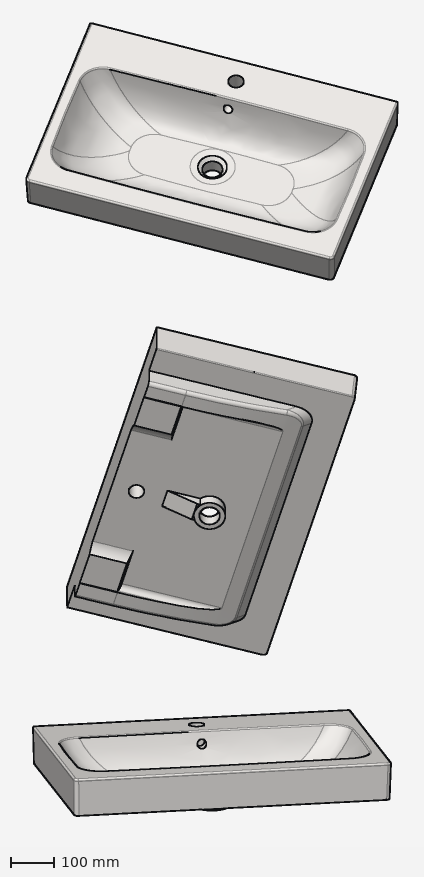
import cadquery as cq
import math


WIDTH = 749.5
DEPTH = 485.0
RIM_HEIGHT = 91.0
LIP_HEIGHT = 5.0
TOP_ROUND = 4.5
BOTTOM_ROUND = 2.0
CORNER_RADIUS = 10.0
SIDE_DRAFT = 2.0
FRONT_DRAFT = 5.0

BOWL_WIDTH = 694.0
BOWL_BACK = -111.0
BOWL_FRONT = -429.0
BOWL_DEPTH = 105.0
BOWL_CORNER = 56.0
BOWL_BULGE = 4.0
BOWL_ROUND = 4.0
SIDE_REACH = 150.0
BACK_REACH = 71.0
FRONT_REACH = 120.0
WALL_LEAN = math.radians(30)
WALL_STEPS = 6

HULL_WIDTH = 618.0
HULL_FRONT = -402.0
HULL_TOE = -378.5
HULL_TOE_Z = -115.0
HULL_BOTTOM = -143.0
HULL_OVERLAP = 7.5
HULL_FLAT_END = -90.0
HULL_CORNER = 34.0
HULL_ROUND = 9.0

RECESS_TOP = -122.0
RECESS_HALF_WIDTH = 267.0
RECESS_CORNER = 13.5
BOSS_BOTTOM = -141.0
BOSS_TOP_END = 160.0
BOSS_BOTTOM_END = 185.0
BOSS_TOP_DEPTH = 97.5
BOSS_BOTTOM_DEPTH = 90.0
BOSS_BLEND = 2.0

DRAIN_Y = -235.0
DRAIN_BORE = 47.0
DRAIN_PIPE = 73.0
TOTAL_HEIGHT = 151.0
SEAT_DIAMETER = 104.0
THROAT_DIAMETER = 67.5
SEAT_DEPTH = 3.0
THROAT_DEPTH = 11.0

OVERFLOW_DIAMETER = 21.0
OVERFLOW_Z = -31.0
OVERFLOW_END = -97.5
CHANNEL_WIDTH = 45.0
CHANNEL_START = -127.5
CHANNEL_LOW_Z = -148.0

TAP_DIAMETER = 36.0
TAP_Y = -59.0


def rim_outline(z, side_shift, front_shift):
    """Rectangle against the wall at height z with its two front corners rounded."""
    side = WIDTH / 2 - side_shift
    front = -DEPTH + front_shift
    return (
        cq.Sketch()
        .push([(0, front / 2)])
        .rect(2 * side, -front)
        .reset()
        .vertices("<Y")
        .fillet(CORNER_RADIUS)
        .moved(cq.Location(cq.Vector(0, 0, z)))
    )


def make_rim_block():
    """Slab with a narrow upright lip above slightly drafted sides and front."""
    top_outline = rim_outline(-LIP_HEIGHT, 0, 0)
    bottom_outline = rim_outline(-RIM_HEIGHT, SIDE_DRAFT, FRONT_DRAFT)
    lip = cq.Workplane("XY").placeSketch(top_outline).extrude(LIP_HEIGHT)
    lip = lip.faces(">Z").edges("not >Y").fillet(TOP_ROUND)
    skirt = cq.Workplane("XY").placeSketch(top_outline, bottom_outline).loft(ruled=True)
    skirt = skirt.faces("<Z").edges("not >Y").fillet(BOTTOM_ROUND)
    return lip.union(skirt)


def make_hull():
    """Body under the rim, with a sloping front and a bottom that falls towards the wall."""
    slope = (HULL_FRONT - HULL_TOE) / (-RIM_HEIGHT - HULL_TOE_Z)
    top_z = -RIM_HEIGHT + HULL_OVERLAP
    top_y = HULL_FRONT + slope * HULL_OVERLAP
    hull = (
        cq.Workplane("YZ", origin=(-HULL_WIDTH / 2, 0, 0))
        .moveTo(0, top_z)
        .lineTo(0, HULL_BOTTOM)
        .lineTo(HULL_FLAT_END, HULL_BOTTOM)
        .tangentArcPoint((HULL_TOE, HULL_TOE_Z), relative=False)
        .lineTo(top_y, top_z)
        .close()
        .extrude(HULL_WIDTH)
    )
    hull = hull.faces("<Y").edges("<X or >X").fillet(HULL_CORNER)
    return hull.faces("<Y").edges("<Z").fillet(HULL_ROUND)


def make_recess():
    """Cutter under the hull, rounded where its top meets the side feet."""
    width = 2 * RECESS_HALF_WIDTH
    height = TOTAL_HEIGHT + RECESS_TOP
    cutter = cq.Workplane("XY").box(width, DEPTH, height, centered=(True, False, False))
    cutter = cutter.translate((0, -DEPTH, -TOTAL_HEIGHT))
    return cutter.faces(">Z").edges("|Y").fillet(RECESS_CORNER)


def make_wall_boss():
    """Block on the -X side of the recess, against the wall, with a hollow inner end and a sloping front."""
    outer_x = -RECESS_HALF_WIDTH - RECESS_CORNER
    root_z = RECESS_TOP + HULL_ROUND
    end_middle = (
        -(BOSS_TOP_END + BOSS_BOTTOM_END) / 2 - BOSS_BLEND,
        (RECESS_TOP + BOSS_BOTTOM) / 2 + BOSS_BLEND,
    )
    boss = (
        cq.Workplane("XZ")
        .moveTo(outer_x, root_z)
        .lineTo(outer_x, BOSS_BOTTOM)
        .lineTo(-BOSS_BOTTOM_END, BOSS_BOTTOM)
        .threePointArc(end_middle, (-BOSS_TOP_END, RECESS_TOP))
        .lineTo(-BOSS_TOP_END, root_z)
        .close()
        .extrude(BOSS_TOP_DEPTH)
    )
    side_shape = (
        cq.Workplane("YZ", origin=(outer_x, 0, 0))
        .moveTo(0, root_z)
        .lineTo(0, BOSS_BOTTOM)
        .lineTo(-BOSS_BOTTOM_DEPTH, BOSS_BOTTOM)
        .lineTo(-BOSS_TOP_DEPTH, RECESS_TOP)
        .lineTo(-BOSS_TOP_DEPTH, root_z)
        .close()
        .extrude(-outer_x)
    )
    return boss.intersect(side_shape)


def bowl_outline(side_inset, back_inset, front_inset):
    """Closed wire of four bowed sides with rounded corners, at Z = 0."""
    side = BOWL_WIDTH / 2 - side_inset
    back = BOWL_BACK - back_inset
    front = BOWL_FRONT + front_inset
    middle = (back + front) / 2
    edge_x = side - BOWL_BULGE
    edge_back = back - BOWL_BULGE
    edge_front = front + BOWL_BULGE
    outline = (
        cq.Workplane("XY")
        .moveTo(-edge_x, edge_back)
        .threePointArc((0, back), (edge_x, edge_back))
        .threePointArc((side, middle), (edge_x, edge_front))
        .threePointArc((0, front), (-edge_x, edge_front))
        .threePointArc((-side, middle), (-edge_x, edge_back))
        .close()
        .val()
    )
    return outline.fillet2D(BOWL_CORNER, outline.Vertices())


def make_bowl():
    """Cutter whose walls follow an elliptic arc that starts leaning and ends level at the floor."""
    outlines = []
    for step in range(WALL_STEPS + 1):
        angle = WALL_LEAN + (math.pi / 2 - WALL_LEAN) * step / WALL_STEPS
        run = 1 - math.cos(angle) / math.cos(WALL_LEAN)
        drop = (math.sin(angle) - math.sin(WALL_LEAN)) / (1 - math.sin(WALL_LEAN))
        outline = bowl_outline(SIDE_REACH * run, BACK_REACH * run, FRONT_REACH * run)
        outlines.append(outline.moved(cq.Location(cq.Vector(0, 0, -BOWL_DEPTH * drop))))
    return cq.Workplane(cq.Solid.makeLoft(outlines))


def make_drain_pipe():
    """Short pipe below the hull."""
    return (
        cq.Workplane("XY", origin=(0, DRAIN_Y, -TOTAL_HEIGHT))
        .circle(DRAIN_PIPE / 2)
        .extrude(TOTAL_HEIGHT - BOWL_DEPTH - THROAT_DEPTH)
    )


def make_overflow_channel():
    """Wedge that runs down from the hull into the wall side of the drain pipe."""
    return (
        cq.Workplane("YZ")
        .moveTo(CHANNEL_START, RECESS_TOP + HULL_ROUND)
        .lineTo(CHANNEL_START, RECESS_TOP)
        .lineTo(DRAIN_Y + DRAIN_PIPE / 2, CHANNEL_LOW_Z)
        .lineTo(DRAIN_Y, CHANNEL_LOW_Z)
        .lineTo(DRAIN_Y, RECESS_TOP + HULL_ROUND)
        .close()
        .extrude(CHANNEL_WIDTH / 2, both=True)
    )


def make_drain_bore():
    """Shallow conical seat, tapered throat and straight bore through the pipe."""
    seat_z = -BOWL_DEPTH
    return (
        cq.Workplane("XZ", origin=(0, DRAIN_Y, 0))
        .moveTo(0, seat_z)
        .lineTo(SEAT_DIAMETER / 2, seat_z)
        .lineTo(THROAT_DIAMETER / 2, seat_z - SEAT_DEPTH)
        .lineTo(DRAIN_BORE / 2, seat_z - THROAT_DEPTH)
        .lineTo(DRAIN_BORE / 2, -TOTAL_HEIGHT)
        .lineTo(0, -TOTAL_HEIGHT)
        .close()
        .revolve(360, (0, 0, 0), (0, 1, 0))
    )


def make_overflow_hole():
    """Level blind hole in the wall-side face of the bowl."""
    return (
        cq.Workplane("XZ", origin=(0, OVERFLOW_END, OVERFLOW_Z))
        .circle(OVERFLOW_DIAMETER / 2)
        .extrude(BACK_REACH)
    )


def make_tap_hole():
    """Round hole through the full height of the deck."""
    return (
        cq.Workplane("XY", origin=(0, TAP_Y, -TOTAL_HEIGHT))
        .circle(TAP_DIAMETER / 2)
        .extrude(TOTAL_HEIGHT)
    )


def round_opening(body):
    """Round the rim of the bowl opening in the top face."""
    margin = BOWL_ROUND
    opening = cq.selectors.BoxSelector(
        (-BOWL_WIDTH / 2 - margin, BOWL_FRONT - margin, -margin),
        (BOWL_WIDTH / 2 + margin, BOWL_BACK + margin, margin),
    )
    return body.edges(opening).fillet(BOWL_ROUND)


boss = make_wall_boss()
hull = make_hull().cut(make_recess()).union(boss).union(boss.mirror("YZ"))
basin = make_rim_block().union(hull).union(make_drain_pipe()).union(make_overflow_channel())
basin = round_opening(basin.cut(make_bowl()))
result = basin.cut(make_drain_bore()).cut(make_overflow_hole()).cut(make_tap_hole())